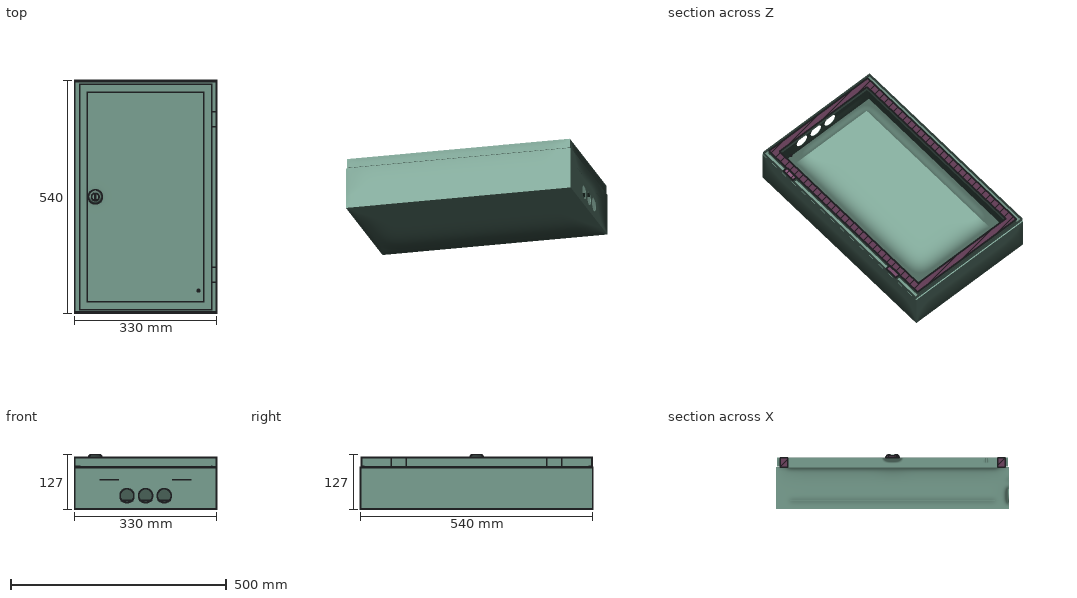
import cadquery as cq
import math

sheet = 1.0

box_width = 330.0
box_length = 540.0
box_height = 98.0

door_side_inset = 2.0
door_gap = 0.9
door_top = 120.5
lock_top = 127.0

gasket_outer_width = 306.5
gasket_outer_length = 522.5
gasket_band = 18.5

cable_hole_diameter = 32.5
cable_hole_pitch = 43.0
cable_hole_height = 31.5

slot_length = 42.0
slot_height = 0.8
slot_bottom = 68.0
slot_center_x = 84.0

plate_width = 259.0
plate_length = 475.0
plate_bottom = 19.5

lock_x = -116.5
lock_cone_angle = 57.0
lock_base_radius = 16.0
lock_shoulder_radius = 13.5
core_radius = 8.5
key_slot_width = 2.0
key_slot_length = 9.5
key_slot_depth = 2.5

hinge_length = 34.5
hinge_center_y = 180.5

stud_x = 122.5
stud_y = -217.5
stud_radius = 2.5
stud_length = 11.0

door_length = box_length - 2 * door_side_inset
door_bottom = box_height + door_gap
door_underside = door_top - sheet
gasket_inner_width = gasket_outer_width - 2 * gasket_band
gasket_inner_length = gasket_outer_length - 2 * gasket_band


def block(width, length, bottom, top):
    """Box centred on the Z axis between two heights."""
    return (
        cq.Workplane("XY")
        .workplane(offset=bottom)
        .rect(width, length)
        .extrude(top - bottom)
    )


def make_housing():
    """Sheet metal box with an inward rim, three cable holes and two slots in the -Y wall."""
    shell = block(box_width, box_length, 0, box_height)
    cavity = block(box_width - 2 * sheet, box_length - 2 * sheet, sheet, box_height - sheet)
    opening = block(gasket_inner_width, gasket_inner_length, sheet, box_height)

    wall_plane = cq.Workplane("XZ", origin=(0, -box_length / 2, 0))
    hole_centers = [(i * cable_hole_pitch, cable_hole_height) for i in (-1, 0, 1)]
    cable_holes = wall_plane.pushPoints(hole_centers).circle(cable_hole_diameter / 2).extrude(-sheet)
    slot_middle = slot_bottom + slot_height / 2
    slot_centers = [(side * slot_center_x, slot_middle) for side in (-1, 1)]
    slots = wall_plane.pushPoints(slot_centers).rect(slot_length, slot_height).extrude(-sheet)
    return shell.cut(cavity).cut(opening).cut(cable_holes).cut(slots)


def make_door():
    """Flat sheet metal door with a flange turned down on all four sides."""
    door = block(box_width, door_length, door_bottom, door_top)
    inside = block(box_width - 2 * sheet, door_length - 2 * sheet, door_bottom, door_underside)
    return door.cut(inside)


def make_gasket():
    """Rectangular sealing frame between the housing rim and the door."""
    frame = block(gasket_outer_width, gasket_outer_length, box_height, door_underside)
    return frame.cut(block(gasket_inner_width, gasket_inner_length, box_height, door_underside))


def make_mounting_plate():
    """Thin plate above the housing floor."""
    return block(plate_width, plate_length, plate_bottom, plate_bottom + sheet)


def make_lock_collar():
    """Conical collar on the door, rounded over to its flat top, with a bore for the core."""
    slope = math.radians(lock_cone_angle)
    shoulder_z = door_top + (lock_base_radius - lock_shoulder_radius) * math.tan(slope)
    rise = lock_top - shoulder_z
    run = lock_shoulder_radius - core_radius
    round_radius = (run**2 + rise**2) / (2 * rise)
    half_sweep = math.asin(run / round_radius) / 2
    round_middle = (
        core_radius + round_radius * math.sin(half_sweep),
        lock_top - round_radius * (1 - math.cos(half_sweep)),
    )
    return (
        cq.Workplane("XZ")
        .moveTo(core_radius, door_top)
        .lineTo(lock_base_radius, door_top)
        .lineTo(lock_shoulder_radius, shoulder_z)
        .threePointArc(round_middle, (core_radius, lock_top))
        .close()
        .revolve(360, (0, 0, 0), (0, 1, 0))
        .translate((lock_x, 0, 0))
    )


def make_lock_core():
    """Round lock core with a key slot along Y."""
    core = cq.Workplane("XY").workplane(offset=door_top).circle(core_radius).extrude(lock_top - door_top)
    key_slot = block(key_slot_width, key_slot_length, lock_top - key_slot_depth, lock_top)
    return core.cut(key_slot).translate((lock_x, 0, 0))


def make_hinge(center_y):
    """Hinge block between the gasket and the +X flange of the door."""
    inner_x = gasket_outer_width / 2
    outer_x = box_width / 2 - sheet
    hinge = block(outer_x - inner_x, hinge_length, box_height, door_underside)
    return hinge.translate(((inner_x + outer_x) / 2, center_y, 0))


def make_stud():
    """Earthing stud hanging from the underside of the door."""
    stud = cq.Workplane("XY").workplane(offset=door_underside).circle(stud_radius).extrude(-stud_length)
    return stud.translate((stud_x, stud_y, 0))


housing = make_housing()
door = make_door()
gasket = make_gasket()
mounting_plate = make_mounting_plate()
lock_collar = make_lock_collar()
lock_core = make_lock_core()
hinges = [make_hinge(side * hinge_center_y) for side in (-1, 1)]
stud = make_stud()

result = cq.Compound.makeCompound(
    [
        housing.val(),
        door.val(),
        gasket.val(),
        mounting_plate.val(),
        lock_collar.val(),
        lock_core.val(),
        *[hinge.val() for hinge in hinges],
        stud.val(),
    ]
)